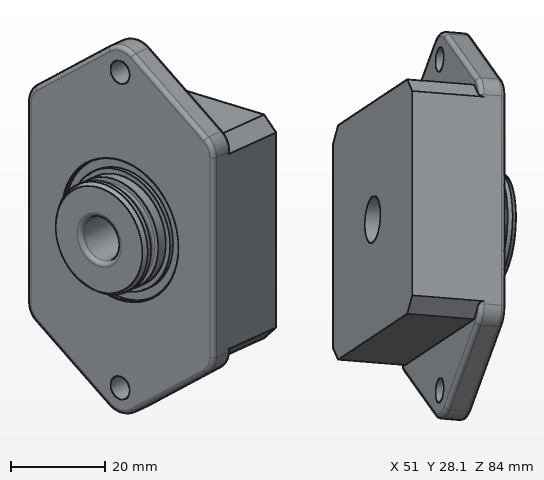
import cadquery as cq
import math

width = 51.0
height = 83.95
plate_thickness = 6.0
apex_radius = 6.0
shoulder_radius = 5.0
end_slope_angle = 35
plate_edge_fillet = 1.0
mount_hole_diameter = 5.2

housing_depth = 15.0
housing_corner_chamfer = 3.3

recess_outer_diameter = 32.0
recess_inner_diameter = 27.4
recess_depth = 1.0
recess_rim_chamfer = 0.2

shaft_diameter = 25.0
shaft_length = 7.05
groove_diameter = 22.2
groove_start = 2.5
groove_width = 2.4
groove_floor_fillet = 0.4
shaft_tip_diameter = 23.75
shaft_tip_length = 1.0
bore_diameter = 10.0
bore_mouth_fillet = 1.0

mount_hole_z = height / 2 - apex_radius
total_depth = plate_thickness + housing_depth


def front_plane(y):
    """Sketch plane whose normal is -Y, so a negative extrusion runs toward +Y."""
    return cq.Workplane("XZ", origin=(0, y, 0))


def cylinder(diameter, front_y, depth):
    return front_plane(front_y).circle(diameter / 2).extrude(-depth)


def make_plate():
    slope = math.radians(end_slope_angle)
    apex_z = mount_hole_z + apex_radius / math.cos(slope)
    shoulder_z = apex_z - width / 2 * math.tan(slope)
    hexagon = [
        (0, apex_z),
        (width / 2, shoulder_z),
        (width / 2, -shoulder_z),
        (0, -apex_z),
        (-width / 2, -shoulder_z),
        (-width / 2, shoulder_z),
    ]
    plate = front_plane(0).polyline(hexagon).close().extrude(-plate_thickness)
    plate = plate.edges("|Y and (<Z or >Z)").fillet(apex_radius)
    plate = plate.edges("|Y and (<X or >X)").fillet(shoulder_radius)
    return plate.faces("<Y or >Y").edges().fillet(plate_edge_fillet)


def make_housing():
    plane = front_plane(plate_thickness - plate_edge_fillet)
    block = plane.rect(width, width).extrude(-housing_depth - plate_edge_fillet)
    return block.edges("|Y").chamfer(housing_corner_chamfer)


def revolve_about_y(profile):
    return cq.Workplane("XY").polyline(profile).close().revolve(360, (0, 0), (0, 1))


def make_front_recess():
    outer_radius = recess_outer_diameter / 2
    inner_radius = recess_inner_diameter / 2
    profile = [
        (inner_radius, 0),
        (outer_radius, 0),
        (outer_radius - recess_rim_chamfer, recess_rim_chamfer),
        (outer_radius - recess_rim_chamfer, recess_depth),
        (inner_radius, recess_depth),
    ]
    return revolve_about_y(profile)


def make_shaft():
    shaft_radius = shaft_diameter / 2
    profile = [
        (0, 0),
        (shaft_radius, 0),
        (shaft_radius, -shaft_length + shaft_tip_length),
        (shaft_tip_diameter / 2, -shaft_length),
        (0, -shaft_length),
    ]
    return revolve_about_y(profile).cut(make_shaft_groove())


def make_shaft_groove():
    ring = cylinder(shaft_diameter, -groove_start - groove_width, groove_width)
    core = cylinder(groove_diameter, -groove_start - groove_width, groove_width)
    groove = ring.cut(core)
    floor_edges = cq.selectors.RadiusNthSelector(0)
    return groove.edges("%CIRCLE").edges(floor_edges).fillet(groove_floor_fillet)


result = make_plate().union(make_housing()).cut(make_front_recess()).union(make_shaft())
result = result.cut(cylinder(bore_diameter, -shaft_length, shaft_length + total_depth))
result = result.faces("<Y").edges(cq.selectors.RadiusNthSelector(0)).fillet(bore_mouth_fillet)
for hole_z in (-mount_hole_z, mount_hole_z):
    hole = cylinder(mount_hole_diameter, 0, plate_thickness).translate((0, 0, hole_z))
    result = result.cut(hole)